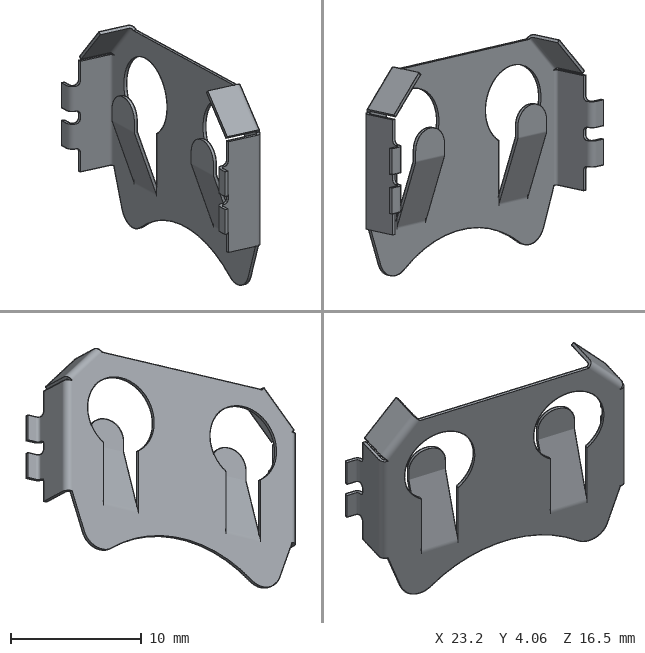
import cadquery as cq
import math


sheet = 0.27
bend_inner = 0.25
bend_outer = bend_inner + sheet

overall_width = 23.24
overall_depth = 4.064
overall_height = 16.48

foot_reach = 1.0
flange_depth = 3.14
flange_bottom = 4.2
flange_top = 13.24
foot_height = 2.04
foot_gap = 1.04
foot_middle = 8.72
foot_root_radius = 0.39
flange_outer_x = overall_width / 2 - foot_reach
side_fold_x = flange_outer_x - bend_outer

flap_angle = math.radians(46.2)
flap_rise = bend_outer * math.cos(flap_angle)
plate_top = overall_height - flap_rise
flap_drop = plate_top - flange_top
flap_run = flap_drop / math.tan(flap_angle)
flap_length = math.hypot(flap_run, flap_drop)
top_corner_x = side_fold_x - flap_run

lobe_x = 7.37
arch_crown = 2.41
lobe_edge_angle = math.radians(20.2)

contact_x = 5.61
hole_radius = 3.048
hole_z = 11.34
tongue_width = 3.175
tongue_root = 3.64
tongue_lower_bend = 3.72
tongue_upper_bend = 9.21
tongue_tip = 11.63
tongue_tip_radius = 1.524
tongue_front = 2.29
tongue_root_bend = 0.44
tongue_upper_bend_inner = 0.05


def make_plate():
    """Flat plate: sloping top corners, two round lobes and a tangent arch below."""
    cos_edge = math.cos(lobe_edge_angle)
    sin_edge = math.sin(lobe_edge_angle)
    lobe_radius = ((side_fold_x - lobe_x) * cos_edge - flange_bottom * sin_edge) / (1 - sin_edge)
    edge_tangent = (lobe_x + lobe_radius * cos_edge, lobe_radius * (1 - sin_edge))
    crown_rise = arch_crown - lobe_radius
    arch_radius = (lobe_x**2 + crown_rise**2 - lobe_radius**2) / (2 * (lobe_radius + crown_rise))
    arch_share = arch_radius / (arch_radius + lobe_radius)
    arch_center_z = arch_crown - arch_radius
    arch_tangent = (lobe_x * arch_share, arch_center_z + (lobe_radius - arch_center_z) * arch_share)

    return (
        cq.Workplane("XZ")
        .moveTo(-top_corner_x, plate_top)
        .lineTo(top_corner_x, plate_top)
        .lineTo(side_fold_x, flange_top)
        .lineTo(side_fold_x, flange_bottom)
        .lineTo(*edge_tangent)
        .threePointArc((lobe_x, 0), arch_tangent)
        .threePointArc((0, arch_crown), (-arch_tangent[0], arch_tangent[1]))
        .threePointArc((-lobe_x, 0), (-edge_tangent[0], edge_tangent[1]))
        .lineTo(-side_fold_x, flange_bottom)
        .lineTo(-side_fold_x, flange_top)
        .close()
        .extrude(sheet)
    )


def bent_strip(length):
    """Strip folded 90 degrees toward -Y; fold line on the Z axis, wall on the +X side."""
    diagonal = math.sqrt(0.5)
    return (
        cq.Workplane("XY")
        .moveTo(0, 0)
        .threePointArc((bend_outer * diagonal, bend_outer * (diagonal - 1)), (bend_outer, -bend_outer))
        .lineTo(bend_outer, -flange_depth)
        .lineTo(bend_inner, -flange_depth)
        .lineTo(bend_inner, -bend_outer)
        .threePointArc((bend_inner * diagonal, bend_inner * diagonal - bend_outer), (0, -sheet))
        .close()
        .extrude(length)
    )


def make_foot(bottom):
    """Solder foot that leaves the +X flange edge and bends outward."""
    diagonal = math.sqrt(0.5)
    bend_x = flange_outer_x + bend_inner
    bend_y = bend_outer - overall_depth
    foot_end = overall_width / 2
    return (
        cq.Workplane("XY", origin=(0, 0, bottom))
        .moveTo(flange_outer_x, -flange_depth)
        .lineTo(flange_outer_x, bend_y)
        .threePointArc(
            (bend_x - bend_inner * diagonal, bend_y - bend_inner * diagonal),
            (bend_x, bend_y - bend_inner),
        )
        .lineTo(foot_end, bend_y - bend_inner)
        .lineTo(foot_end, -overall_depth)
        .lineTo(bend_x, -overall_depth)
        .threePointArc(
            (bend_x - bend_outer * diagonal, bend_y - bend_outer * diagonal),
            (flange_outer_x - sheet, bend_y),
        )
        .lineTo(flange_outer_x - sheet, -flange_depth)
        .close()
        .extrude(foot_height)
    )


def make_side_flange():
    """Flange on the +X side with two feet, rounded where the feet leave its edge."""
    flange = bent_strip(flange_top - flange_bottom).translate((side_fold_x, 0, flange_bottom))
    for bottom in (foot_middle - foot_gap / 2 - foot_height, foot_middle + foot_gap / 2):
        flange = flange.union(make_foot(bottom))
        for root_z in (bottom, bottom + foot_height):
            root = (flange_outer_x - sheet / 2, -flange_depth, root_z)
            flange = flange.edges(cq.selectors.NearestToPointSelector(root)).fillet(foot_root_radius)
    return flange


def make_corner_flap():
    """Flap folded along the sloping corner on the +X side."""
    tilt = math.degrees(flap_angle) - 90
    return (
        bent_strip(flap_length)
        .rotate((0, 0, 0), (0, 1, 0), tilt)
        .translate((side_fold_x, 0, flange_top))
    )


def make_opening(x):
    """Round hole joined to the slot that the tongue is bent out of."""
    hole = cq.Workplane("XZ").center(x, hole_z).circle(hole_radius).extrude(sheet)
    slot_height = hole_z - tongue_root
    slot = (
        cq.Workplane("XZ")
        .center(x, tongue_root + slot_height / 2)
        .rect(tongue_width, slot_height)
        .extrude(sheet)
    )
    return hole.union(slot)


def make_tongue(x):
    """Spring tongue: slopes forward from the slot bottom, then runs parallel to the plate."""
    slope = math.atan2(tongue_front - sheet, tongue_upper_bend - tongue_lower_bend)
    back_shift = sheet * math.tan(slope / 2)
    tongue_back = tongue_front - sheet
    front_lower = (-sheet, tongue_lower_bend)
    front_upper = (-tongue_front, tongue_upper_bend)
    back_lower = (0, tongue_lower_bend + back_shift)
    back_upper = (-tongue_back, tongue_upper_bend + back_shift)
    tongue = (
        cq.Workplane("YZ", origin=(x, 0, 0))
        .moveTo(0, tongue_root)
        .lineTo(-sheet, tongue_root)
        .lineTo(*front_lower)
        .lineTo(*front_upper)
        .lineTo(-tongue_front, tongue_tip)
        .lineTo(-tongue_back, tongue_tip)
        .lineTo(*back_upper)
        .lineTo(*back_lower)
        .close()
        .extrude(tongue_width / 2, both=True)
        .edges("|Y and >Z")
        .fillet(tongue_tip_radius)
    )
    bends = (
        (front_lower, tongue_root_bend),
        (back_lower, tongue_root_bend + sheet),
        (front_upper, tongue_upper_bend_inner + sheet),
        (back_upper, tongue_upper_bend_inner),
    )
    for corner, radius in bends:
        bend_edge = cq.selectors.NearestToPointSelector((x, *corner))
        tongue = tongue.edges(bend_edge).fillet(radius)
    return tongue


result = make_plate()
for contact in (-contact_x, contact_x):
    result = result.cut(make_opening(contact)).union(make_tongue(contact))
for side_part in (make_side_flange(), make_corner_flap()):
    result = result.union(side_part).union(side_part.mirror("YZ"))